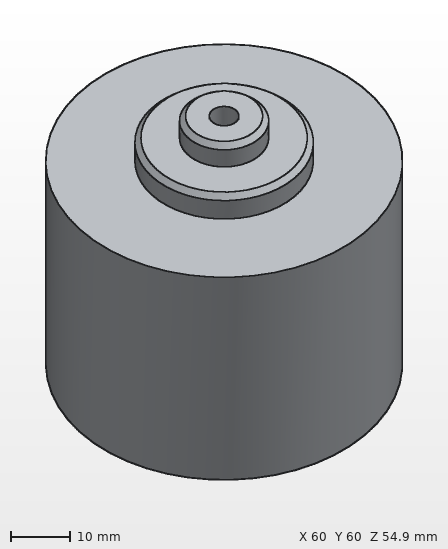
import cadquery as cq

body_diameter = 60.0
body_height = 45.0
collar_diameter = body_diameter / 2
collar_height = 5.1
spigot_diameter = collar_diameter / 2
total_height = 54.9
spigot_height = total_height - body_height - collar_height
edge_chamfer = 1.0
bore_diameter = 5.0


def chamfered_disc(diameter, height, base_z):
    """Upright disc standing at base_z with a chamfered top rim."""
    disc = cq.Workplane("XY").workplane(offset=base_z).circle(diameter / 2).extrude(height)
    return disc.faces(">Z").edges().chamfer(edge_chamfer)


body = cq.Workplane("XY").circle(body_diameter / 2).extrude(body_height)
collar = chamfered_disc(collar_diameter, collar_height, body_height)
spigot = chamfered_disc(spigot_diameter, spigot_height, body_height + collar_height)

bore = cq.Workplane("XY").circle(bore_diameter / 2).extrude(total_height)

result = body.union(collar).union(spigot).cut(bore)